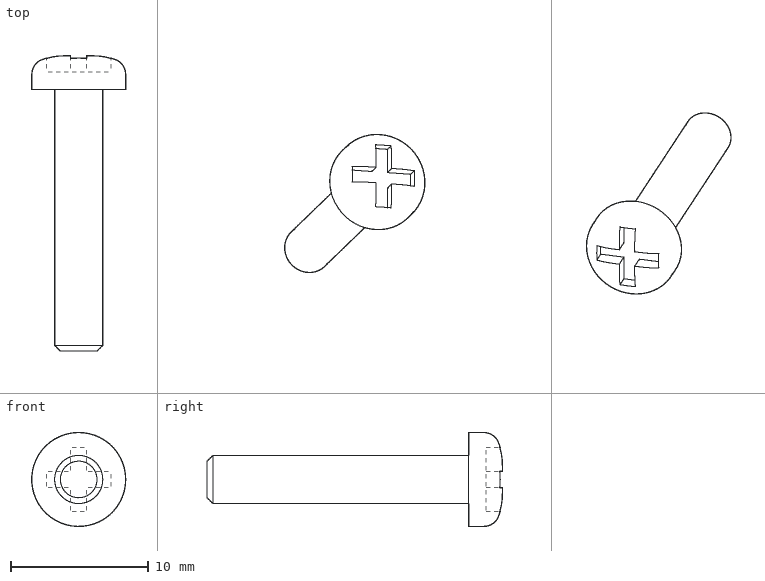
import cadquery as cq
import math

shank_diameter = 3.505
shank_length = 19.05
tip_chamfer = 0.42

head_diameter = 6.858
head_height = 2.464
collar_height = 1.09
shoulder_radius = 1.19
crown_rim_radius = 2.84
flat_top_radius = 1.2

recess_arm_width = 1.17
recess_span = 4.68
recess_depth = 1.2

shank_radius = shank_diameter / 2
head_radius = head_diameter / 2

shoulder_center_radius = head_radius - shoulder_radius
shoulder_end_angle = math.asin((crown_rim_radius - shoulder_center_radius) / shoulder_radius)
crown_rim_height = collar_height + shoulder_radius * math.cos(shoulder_end_angle)

crown_run = crown_rim_radius - flat_top_radius
crown_drop = head_height - crown_rim_height
crown_radius = (crown_run**2 + crown_drop**2) / (2 * crown_drop)
crown_end_angle = math.asin(crown_run / crown_radius)


def arc_point(center_radius, center_height, radius, angle):
    """Point on an arc, with the angle measured from the screw axis direction."""
    return (
        center_radius + radius * math.sin(angle),
        center_height + radius * math.cos(angle),
    )


def make_screw_body():
    shoulder_mid_angle = (shoulder_end_angle + math.pi / 2) / 2
    shoulder_mid = arc_point(
        shoulder_center_radius, collar_height, shoulder_radius, shoulder_mid_angle
    )
    crown_mid = arc_point(
        flat_top_radius, head_height - crown_radius, crown_radius, crown_end_angle / 2
    )
    profile = (
        cq.Workplane("XY")
        .moveTo(0, -shank_length)
        .lineTo(shank_radius - tip_chamfer, -shank_length)
        .lineTo(shank_radius, -shank_length + tip_chamfer)
        .lineTo(shank_radius, 0)
        .lineTo(head_radius, 0)
        .lineTo(head_radius, collar_height)
        .threePointArc(shoulder_mid, (crown_rim_radius, crown_rim_height))
        .threePointArc(crown_mid, (flat_top_radius, head_height))
        .lineTo(0, head_height)
        .close()
    )
    return profile.revolve(360, (0, 0, 0), (0, 1, 0))


def make_cross_recess():
    recess_center = (0, head_height - recess_depth / 2, 0)
    arm_along_x = cq.Workplane("XY").box(recess_span, recess_depth, recess_arm_width)
    arm_along_z = cq.Workplane("XY").box(recess_arm_width, recess_depth, recess_span)
    return arm_along_x.union(arm_along_z).translate(recess_center)


result = make_screw_body().cut(make_cross_recess())